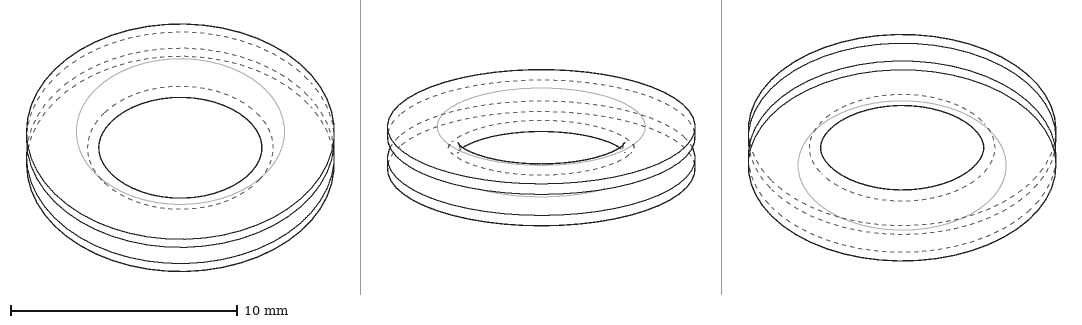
import cadquery as cq

outer_diameter = 13.6
bore_diameter = 7.2
height = 2.0
wall_thickness = 0.5

outer_radius = outer_diameter / 2
bore_radius = bore_diameter / 2
bore_arc_radius = height / 2
groove_arc_radius = bore_arc_radius - wall_thickness
arc_center_radius = bore_radius + bore_arc_radius
groove_floor_radius = bore_radius + wall_thickness


def eyelet_section():
    """C-shaped wall section in the XZ plane, centred on Z = 0."""
    return (
        cq.Workplane("XZ")
        .moveTo(outer_radius, bore_arc_radius)
        .lineTo(arc_center_radius, bore_arc_radius)
        .threePointArc((bore_radius, 0), (arc_center_radius, -bore_arc_radius))
        .lineTo(outer_radius, -bore_arc_radius)
        .lineTo(outer_radius, -groove_arc_radius)
        .lineTo(arc_center_radius, -groove_arc_radius)
        .threePointArc((groove_floor_radius, 0), (arc_center_radius, groove_arc_radius))
        .lineTo(outer_radius, groove_arc_radius)
        .close()
    )


result = eyelet_section().revolve(360, (0, 0, 0), (0, 1, 0))